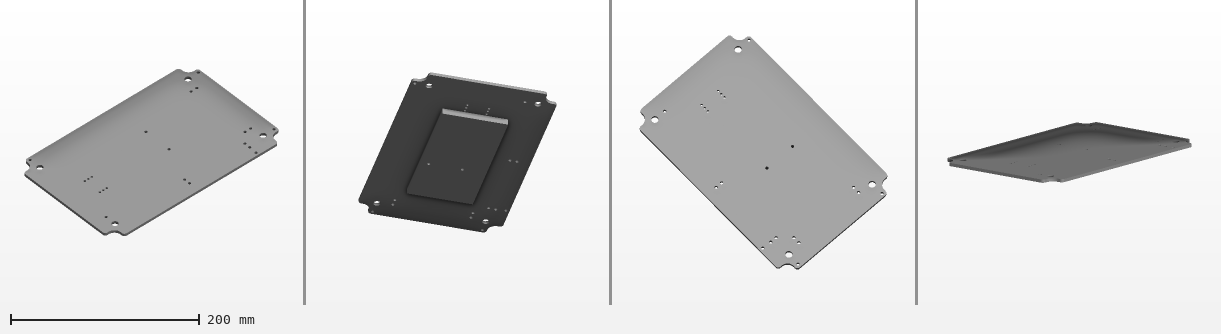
import cadquery as cq

plate_width = 158.7
plate_length = 248.0
total_height = 10.5
plate_thickness = 3.5
notch = 14.5
notch_inner_radius = 9.0
corner_radius = 3.5

block_width = 72.5
block_length = 142.8
block_height = total_height - plate_thickness

mount_diameter = 7.7
mount_x = 59.7
mount_y = 105.0

fixing_diameter = 3.5
end_hole_x = 60.2
end_hole_y = 120.0
pair_x = 43.0
pair_ys = (102.5, 94.5)
low_fixing_holes = [(-75.4, -mount_y), (45.5, -mount_y)]
centre_holes = [(-27.0, 16.0), (10.0, 16.0)]
side_column_xs = (56.8, 64.5)
side_row_ys = (81.8, -3.7)
edge_hole = (75.4, 81.0)

pin_diameter = 2.7
pin_column_xs = (-12.0, 12.0)
pin_middle_y = -79.0
pin_pitch = 5.0


def make_plate():
    """Rectangular sheet with a rounded square notch at every corner."""
    half_width = plate_width / 2
    half_length = plate_length / 2
    sheet = cq.Workplane("XY").box(
        plate_width, plate_length, plate_thickness, centered=(True, True, False)
    )
    notches = (
        cq.Workplane("XY")
        .rect(plate_width, plate_length, forConstruction=True)
        .vertices()
        .rect(2 * notch, 2 * notch)
        .extrude(plate_thickness)
    )
    sheet = sheet.cut(notches)

    inner_x = half_width - notch
    inner_y = half_length - notch
    for x_sign in (-1, 1):
        for y_sign in (-1, 1):
            inner = (x_sign * inner_x, y_sign * inner_y, plate_thickness / 2)
            sheet = sheet.edges(cq.NearestToPointSelector(inner)).fillet(notch_inner_radius)
            for x, y in ((half_width, inner_y), (inner_x, half_length)):
                outer = (x_sign * x, y_sign * y, plate_thickness / 2)
                sheet = sheet.edges(cq.NearestToPointSelector(outer)).fillet(corner_radius)
    return sheet


def make_block():
    """Plain block that hangs below the plate."""
    return (
        cq.Workplane("XY")
        .rect(block_width, block_length)
        .extrude(-block_height)
    )


def drill(body, points, diameter):
    """Cut vertical holes through the full height of the part."""
    cutters = (
        cq.Workplane("XY", origin=(0, 0, -block_height))
        .pushPoints(points)
        .circle(diameter / 2)
        .extrude(total_height)
    )
    return body.cut(cutters)


mount_holes = [(x, y) for x in (-mount_x, mount_x) for y in (-mount_y, mount_y)]

fixing_holes = [(-end_hole_x, end_hole_y), (end_hole_x, end_hole_y), edge_hole]
fixing_holes += [(x, y) for x in (-pair_x, pair_x) for y in pair_ys]
fixing_holes += [(x, y) for x in side_column_xs for y in side_row_ys]
fixing_holes += low_fixing_holes + centre_holes

pin_holes = [(x, pin_middle_y + step * pin_pitch) for x in pin_column_xs for step in (-1, 0, 1)]

result = make_plate().union(make_block())
result = drill(result, mount_holes, mount_diameter)
result = drill(result, fixing_holes, fixing_diameter)
result = drill(result, pin_holes, pin_diameter)